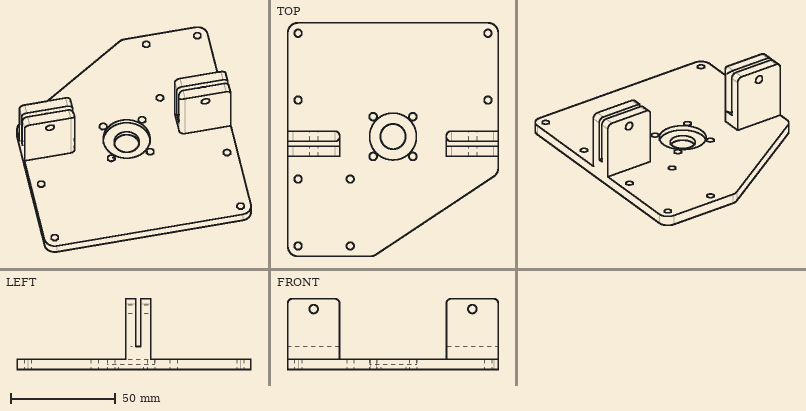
import cadquery as cq

PLATE_WIDTH = 101.0
PLATE_LENGTH = 112.0
PLATE_THICKNESS = 5.0
CORNER_RADIUS = 5.0
CUT_START_X = -9.4
CUT_END_Y = -16.2

SCREW_DIAMETER = 3.5
SCREW_INSET = 5.0
SCREW_SPACING_Y = 32.0
SCREW_SPACING_X = 25.0

SEAT_Y = 1.5
SEAT_DIAMETER = 22.5
SEAT_DEPTH = 2.5
BORE_DIAMETER = 12.0
SEAT_SCREW_DIAMETER = 3.6
SEAT_SCREW_SPACING = 19.0

TOTAL_HEIGHT = 34.0
TOWER_WIDTH = 25.0
TOWER_DEPTH = 12.1
TOWER_Y = -2.0
TOWER_TOP_RADIUS = 2.5
FIN_EDGE_RADIUS = 2.4
SLOT_WIDTH = 2.2
SLOT_FLOOR_Z = 11.1
PIN_DIAMETER = 4.0
PIN_DROP = 5.0

HALF_WIDTH = PLATE_WIDTH / 2
HALF_LENGTH = PLATE_LENGTH / 2


def make_plate():
    """Rounded plate with its front right corner cut off at a slant."""
    outline = [
        (-HALF_WIDTH, -HALF_LENGTH),
        (CUT_START_X, -HALF_LENGTH),
        (HALF_WIDTH, CUT_END_Y),
        (HALF_WIDTH, HALF_LENGTH),
        (-HALF_WIDTH, HALF_LENGTH),
    ]
    plate = cq.Workplane("XY").polyline(outline).close().extrude(PLATE_THICKNESS)
    return plate.edges("|Z").fillet(CORNER_RADIUS)


def make_left_tower():
    """Tower at the -X edge: two fins joined below a slot, with a pin hole."""
    center_x = -HALF_WIDTH + TOWER_WIDTH / 2
    height = TOTAL_HEIGHT - PLATE_THICKNESS
    block = (
        cq.Workplane("XY", origin=(center_x, TOWER_Y, PLATE_THICKNESS))
        .box(TOWER_WIDTH, TOWER_DEPTH, height, centered=(True, True, False))
    )
    rounded_top = block.edges("|Y and >Z").fillet(TOWER_TOP_RADIUS)
    slot = (
        cq.Workplane("XY", origin=(center_x, TOWER_Y, SLOT_FLOOR_Z))
        .box(TOWER_WIDTH, SLOT_WIDTH, TOTAL_HEIGHT, centered=(True, True, False))
    )
    pin_hole = (
        cq.Workplane("XZ", origin=(center_x, TOWER_Y, TOTAL_HEIGHT - PIN_DROP))
        .circle(PIN_DIAMETER / 2)
        .extrude(TOWER_DEPTH, both=True)
    )
    inner_edges = block.cut(slot).edges("|Z and >X")
    fins = inner_edges.filter(lambda edge: edge.Center().y > TOWER_Y).fillet(FIN_EDGE_RADIUS)
    return fins.intersect(rounded_top).cut(pin_hole)


def drill(body, points, diameter):
    """Cut round through holes in the plate."""
    holes = (
        cq.Workplane("XY")
        .pushPoints(points)
        .circle(diameter / 2)
        .extrude(PLATE_THICKNESS)
    )
    return body.cut(holes)


left_tower = make_left_tower()
result = make_plate().union(left_tower).union(left_tower.mirror("YZ"))

screw_x = HALF_WIDTH - SCREW_INSET
screw_y = HALF_LENGTH - SCREW_INSET
screw_points = []
for step in (0, SCREW_SPACING_Y):
    for x in (-screw_x, screw_x):
        screw_points.append((x, screw_y - step))
    for x in (-screw_x, -screw_x + SCREW_SPACING_X):
        screw_points.append((x, -screw_y + step))
result = drill(result, screw_points, SCREW_DIAMETER)

seat = (
    cq.Workplane("XY", origin=(0, SEAT_Y, PLATE_THICKNESS - SEAT_DEPTH))
    .circle(SEAT_DIAMETER / 2)
    .extrude(SEAT_DEPTH)
)
result = drill(result.cut(seat), [(0, SEAT_Y)], BORE_DIAMETER)
offset = SEAT_SCREW_SPACING / 2
seat_screw_points = [(x, SEAT_Y + y) for x in (-offset, offset) for y in (-offset, offset)]
result = drill(result, seat_screw_points, SEAT_SCREW_DIAMETER)